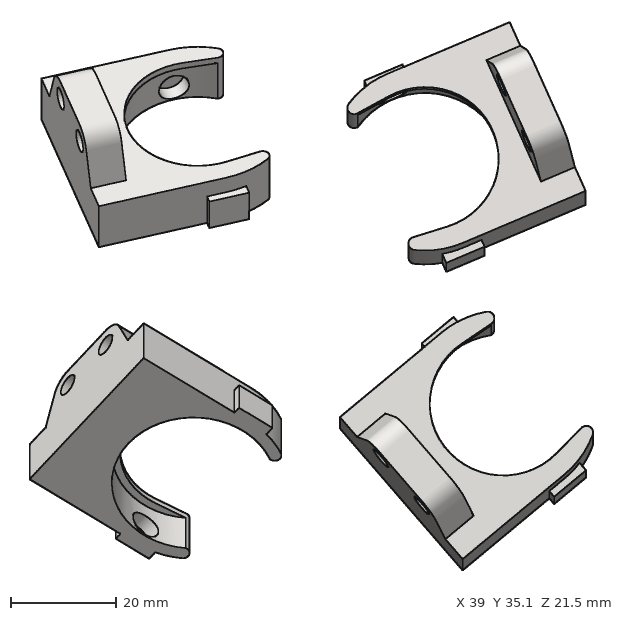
import cadquery as cq
import math

body_width = 36.1
body_height = 11.05
outer_radius = body_width / 2
bore_radius = 14.0
bore_y = 25.45
tip_radius = 1.3
tip_angle = math.radians(30)

lug_base_width = 25.97
lug_thickness = 7.05
lug_top = 21.5
lug_hole_diameter = 4.35
lug_hole_spacing = 11.97
lug_corner_radius = 4.45

overall_width = 39.0
pad_length = 7.95
pad_height = 7.15
pad_y = 25.6
socket_diameter = 6.0
socket_z = 3.35
socket_floor_x = 18.52

recess_radius = 15.55
lip_height = 1.5


def polar(radius, angle, center=(0, 0)):
    """Point at a radius and angle about a center."""
    return (center[0] + radius * math.cos(angle), center[1] + radius * math.sin(angle))


def mirrored(point):
    """The same point on the -X side."""
    return (-point[0], point[1])


def make_body():
    """Block with two curved arms; each tip is tangent to the outer arc and the inner flat."""
    bore_center = (0, bore_y)
    tip_distance = outer_radius - tip_radius
    tip_center = polar(tip_distance, tip_angle, bore_center)
    flat_angle = tip_angle - math.acos((bore_radius + tip_radius) / tip_distance)
    outer_start = (outer_radius, bore_y)
    outer_middle = polar(outer_radius, tip_angle / 2, bore_center)
    outer_end = polar(outer_radius, tip_angle, bore_center)
    tip_middle = polar(tip_radius, (tip_angle + flat_angle + math.pi) / 2, tip_center)
    tip_end = polar(tip_radius, flat_angle + math.pi, tip_center)
    flat_end = polar(bore_radius, flat_angle, bore_center)
    bore_bottom = (0, bore_y - bore_radius)
    return (
        cq.Workplane("XY")
        .moveTo(-outer_radius, 0)
        .lineTo(outer_radius, 0)
        .lineTo(*outer_start)
        .threePointArc(outer_middle, outer_end)
        .threePointArc(tip_middle, tip_end)
        .lineTo(*flat_end)
        .threePointArc(bore_bottom, mirrored(flat_end))
        .lineTo(*mirrored(tip_end))
        .threePointArc(mirrored(tip_middle), mirrored(outer_end))
        .threePointArc(mirrored(outer_middle), mirrored(outer_start))
        .close()
        .extrude(body_height)
    )


def make_lug():
    """Tapered plate whose sides are tangent to its rounded top corners."""
    corner = (lug_hole_spacing / 2, lug_top - lug_corner_radius)
    foot = (lug_base_width / 2, body_height)
    run = foot[0] - corner[0]
    drop = foot[1] - corner[1]
    side_angle = math.atan2(drop, run) + math.acos(lug_corner_radius / math.hypot(run, drop))
    side_end = polar(lug_corner_radius, side_angle, corner)
    arc_middle = polar(lug_corner_radius, (side_angle + math.pi / 2) / 2, corner)
    arc_end = (corner[0], lug_top)
    plate = (
        cq.Workplane("XZ")
        .moveTo(*mirrored(foot))
        .lineTo(*foot)
        .lineTo(*side_end)
        .threePointArc(arc_middle, arc_end)
        .lineTo(*mirrored(arc_end))
        .threePointArc(mirrored(arc_middle), mirrored(side_end))
        .close()
        .extrude(-lug_thickness)
    )
    holes = (
        cq.Workplane("XZ")
        .pushPoints([corner, mirrored(corner)])
        .circle(lug_hole_diameter / 2)
        .extrude(-lug_thickness)
    )
    return plate.cut(holes)


def make_pad(side):
    """Pad on one side, sunk into the arm to the middle of its wall."""
    depth = overall_width / 2 - (bore_radius + outer_radius) / 2
    center_x = side * (overall_width - depth) / 2
    return cq.Workplane("XY").box(depth, pad_length, pad_height).translate((center_x, pad_y, pad_height / 2))


def make_socket(side):
    """Cylinder from the bore axis plane to the floor of one socket."""
    return (
        cq.Workplane("YZ")
        .center(pad_y, socket_z)
        .circle(socket_diameter / 2)
        .extrude(side * socket_floor_x)
    )


def make_recess():
    """Cylinder open at the bottom that widens the bore below the lip."""
    return cq.Workplane("XY").center(0, bore_y).circle(recess_radius).extrude(body_height - lip_height)


result = make_body().union(make_lug())
for side in (-1, 1):
    result = result.union(make_pad(side))
result = result.cut(make_recess())
for side in (-1, 1):
    result = result.cut(make_socket(side))